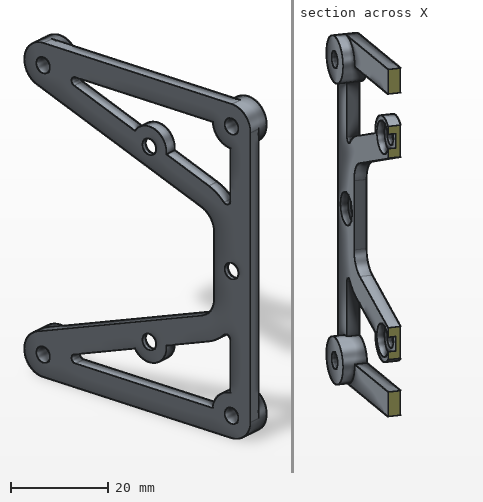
import cadquery as cq
import math

width = 60.0
height = 75.0
depth = 5.3
plate_thickness = 2.8

post_radius = 5.0
hole_diameter = 3.6
boss_radius = 4.6
counterbore_diameter = 7.0
web_under_counterbore = 1.1
boss_x = 3.15
boss_z = 21.9
bend_radius = 5.0
pocket_fillet = 1.0

arm_angle = math.radians(19.6)
arm_width = 5.6
spine_inner_x = 20.3
pocket_right_x = 24.6
pocket_top_z = 32.1

post_x = width / 2 - post_radius
post_z = height / 2 - post_radius
post_points = [(x, z) for x in (-post_x, post_x) for z in (-post_z, post_z)]
boss_points = [(boss_x, -boss_z), (boss_x, boss_z)]
plate_hole_points = boss_points + [(post_x, 0)]
hole_points = post_points + plate_hole_points
slope = math.tan(arm_angle)


def arm_edge_z(x, inset=0.0):
    """Height of the upper arm's sloping edge, moved toward the pocket by inset."""
    edge_at_post = post_z - (post_radius - inset) / math.cos(arm_angle)
    return edge_at_post - slope * (x + post_x)


def front_plane():
    """Sketch plane on the front face; positive extrusion runs toward +Y."""
    return cq.Workplane("XZ", origin=(0, -depth / 2, 0))


def prism(sketch, thickness):
    return sketch.extrude(-thickness)


def cylinders(points, radius, thickness):
    return prism(front_plane().pushPoints(points).circle(radius), thickness)


bend_x = spine_inner_x - bend_radius
bend_z = arm_edge_z(bend_x) - bend_radius / math.cos(arm_angle)


def on_bend(radius, angle):
    """Point on a circle about the bend centre, angle taken from +X."""
    return (bend_x + radius * math.cos(angle), bend_z + radius * math.sin(angle))


def plate_blank():
    """C-shaped plate before its openings; the posts later fill its notched corners."""
    bend_start_angle = math.pi / 2 - arm_angle
    bend_start = on_bend(bend_radius, bend_start_angle)
    bend_middle = on_bend(bend_radius, bend_start_angle / 2)
    bend_end = on_bend(bend_radius, 0)
    tip_x = -post_x - post_radius * math.sin(arm_angle)
    tip_z = post_z - post_radius * math.cos(arm_angle)
    upper_half = (
        front_plane()
        .moveTo(spine_inner_x, 0)
        .lineTo(*bend_end)
        .threePointArc(bend_middle, bend_start)
        .lineTo(tip_x, tip_z)
        .lineTo(-post_x, post_z)
        .lineTo(-post_x, height / 2)
        .lineTo(post_x, height / 2)
        .lineTo(post_x, post_z)
        .lineTo(width / 2, post_z)
        .lineTo(width / 2, 0)
        .close()
    )
    half = prism(upper_half, plate_thickness)
    return half.union(half.mirror("XY"))


def upper_pocket():
    """Triangular opening whose lower edge runs parallel to the arm and its bend."""
    curve_radius = bend_radius + arm_width
    start_angle = math.pi / 2 - arm_angle
    end_angle = math.acos((pocket_right_x - bend_x) / curve_radius)
    left_x = (arm_edge_z(0, arm_width) - pocket_top_z) / slope
    outline = (
        front_plane()
        .moveTo(left_x, pocket_top_z)
        .lineTo(*on_bend(curve_radius, start_angle))
        .threePointArc(
            on_bend(curve_radius, (start_angle + end_angle) / 2),
            on_bend(curve_radius, end_angle),
        )
        .lineTo(pocket_right_x, pocket_top_z)
        .close()
    )
    pocket = prism(outline, plate_thickness)
    return pocket.edges("|Y").edges("<X or <Z").fillet(pocket_fillet)


bosses = cylinders(boss_points, boss_radius, plate_thickness)
pocket = upper_pocket().cut(bosses)
plate = plate_blank().cut(pocket).cut(pocket.mirror("XY"))
posts = cylinders(post_points, post_radius, depth)
holes = cylinders(hole_points, hole_diameter / 2, depth)

counterbores = cylinders(plate_hole_points, counterbore_diameter / 2, plate_thickness)
counterbores = counterbores.translate((0, web_under_counterbore, 0))

result = plate.union(posts).cut(holes).cut(counterbores)